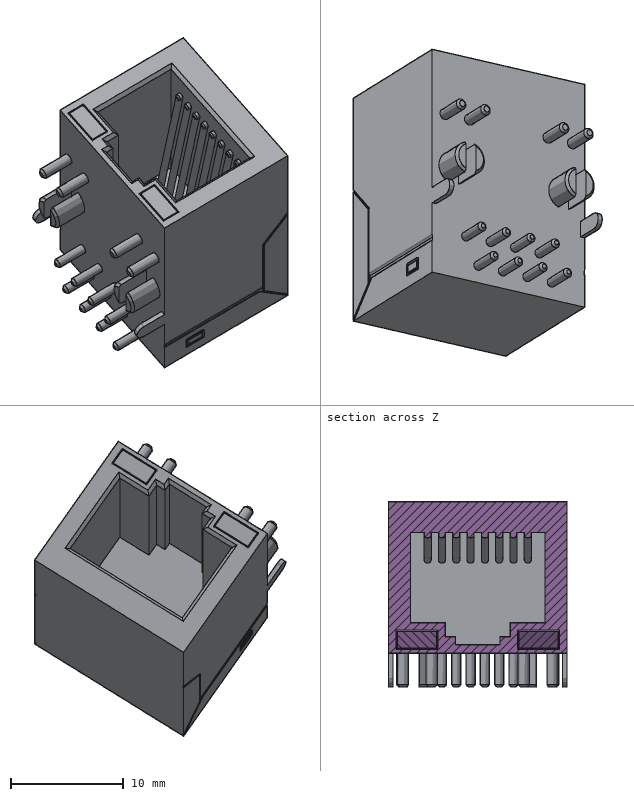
import cadquery as cq
import math


WIDTH = 15.88
HEIGHT = 13.5
LENGTH = 21.4
SIDE_X = WIDTH / 2
LEG_LENGTH = 3.0
LEG_CHAMFER = 0.21
ROOT_EMBED = 0.43

CAVITY_HALF_WIDTH = 5.97
CAVITY_CEILING = 10.75
CAVITY_FLOOR = 2.74
KEY_HALF_WIDTH = 2.87
KEY_FLOOR = 1.5
LATCH_HALF_WIDTH = 1.97
LATCH_FLOOR = 0.8
CAVITY_END_Z = 6.0
MOUTH_CHAMFER = 0.32
MOUTH_MARGIN = 0.02

CONTACT_COUNT = 8
CONTACT_SPAN = 8.9
PITCH = CONTACT_SPAN / (CONTACT_COUNT - 1)
CONTACT_RADIUS = 0.32
CONTACT_TILT = 10.0
CONTACT_ROOT_Y = 8.35
STUB_END_Y = 10.3
STUB_Z = 18.7
STUB_CHAMFER_LENGTH = 0.15
STUB_CHAMFER_DEPTH = 0.09

LIGHT_WIDTH = 3.5
LIGHT_HEIGHT = 1.5
LIGHT_DEPTH = 4.28
LIGHT_GAP = 0.096
LIGHT_X = 5.41
LIGHT_Y = 1.22

SIGNAL_RADIUS = 0.83 / 2
SIGNAL_REAR_Z = 1.6
ROW_PITCH = 2 * PITCH

LIGHT_LEG_RADIUS = 0.5
LIGHT_LEG_Z = 15.43
LIGHT_LEG_INNER_X = 4.09
LIGHT_LEG_OUTER_X = LIGHT_LEG_INNER_X + ROW_PITCH

PEG_RADIUS = 1.52
PEG_SPLIT = 1.03
PEG_CHAMFER = 0.24
PEG_X = 5.71
PEG_Z = 10.46

TAB_THICKNESS = 0.43
TAB_WIDTH = 1.5
TAB_Z = 7.4

RELIEF_DEPTH = 0.054
SEAM_DEPTH = 0.09
SEAM_WIDTH = 0.13
FLAP_Y = 10.8
FLAP_RUN = HEIGHT - FLAP_Y
FLAP_TOP_Z = 12.58
BAND_BOTTOM_Z = 3.1
BEND_BOTTOM_Z = 3.38
BEND_TOP_Z = 3.64

WINDOW_Y = 3.38
WINDOW_Z = 1.73
WINDOW_LENGTH = 1.95
WINDOW_HEIGHT = 1.15
WINDOW_CORNER_RADIUS = 0.17
CATCH_LENGTH = 1.6
CATCH_HEIGHT = 0.81
CATCH_BEVEL = 0.09


def make_cavity():
    """Stepped plug cavity, open at the mouth face."""
    right_side = [
        (CAVITY_HALF_WIDTH, CAVITY_CEILING),
        (CAVITY_HALF_WIDTH, CAVITY_FLOOR),
        (KEY_HALF_WIDTH, CAVITY_FLOOR),
        (KEY_HALF_WIDTH, KEY_FLOOR),
        (LATCH_HALF_WIDTH, KEY_FLOOR),
        (LATCH_HALF_WIDTH, LATCH_FLOOR),
    ]
    left_side = [(-x, y) for x, y in reversed(right_side)]
    outline = cq.Workplane("XY", origin=(0, 0, CAVITY_END_Z)).polyline(right_side + left_side).close()
    return outline.extrude(LENGTH - CAVITY_END_Z)


def make_contact(x):
    """Level stub with a chamfered end, and a round wire tilted from the cavity end up to its centre line."""
    tilt = math.radians(CONTACT_TILT)
    direction = cq.Vector(0, math.sin(tilt), math.cos(tilt))
    root = cq.Vector(x, CONTACT_ROOT_Y, CAVITY_END_Z) - direction * ROOT_EMBED
    length = (STUB_Z - CAVITY_END_Z) / math.cos(tilt) + ROOT_EMBED
    base = cq.Workplane(cq.Plane(origin=root.toTuple(), xDir=(1, 0, 0), normal=direction.toTuple()))
    wire = base.circle(CONTACT_RADIUS).extrude(length)

    stub_top = CAVITY_CEILING + ROOT_EMBED
    stub = (
        cq.Workplane("XY", origin=(x, 0, STUB_Z))
        .polyline([
            (0, stub_top),
            (CONTACT_RADIUS, stub_top),
            (CONTACT_RADIUS, STUB_END_Y + STUB_CHAMFER_LENGTH),
            (CONTACT_RADIUS - STUB_CHAMFER_DEPTH, STUB_END_Y),
            (0, STUB_END_Y),
        ])
        .close()
        .revolve(360, (0, 0, 0), (0, 1, 0))
    )
    return wire.union(stub)


def make_light(x, gap):
    """Block for one indicator light, enlarged by a gap on its four long sides."""
    block = cq.Workplane("XY", origin=(x, LIGHT_Y, LENGTH - LIGHT_DEPTH))
    return block.rect(LIGHT_WIDTH + 2 * gap, LIGHT_HEIGHT + 2 * gap).extrude(LIGHT_DEPTH)


def make_round_leg(x, z, radius, chamfer):
    """Round leg below the board face, chamfered at its free end."""
    leg = cq.Workplane("XZ", origin=(x, ROOT_EMBED, z)).circle(radius).extrude(LEG_LENGTH + ROOT_EMBED)
    return leg.faces("<Y").chamfer(chamfer)


def make_peg(x):
    """Locating peg split in two along Z."""
    peg = make_round_leg(x, PEG_Z, PEG_RADIUS, PEG_CHAMFER)
    split = cq.Workplane("XZ", origin=(x, 0, PEG_Z)).rect(PEG_SPLIT, 2 * PEG_RADIUS).extrude(LEG_LENGTH)
    return peg.cut(split)


def make_tab(side):
    """Flat ground tab with a full round end; side is -1 or 1."""
    half = TAB_WIDTH / 2
    round_start = half - LEG_LENGTH
    outline = (
        cq.Workplane("YZ", origin=(side * SIDE_X, 0, TAB_Z))
        .moveTo(ROOT_EMBED, half)
        .lineTo(round_start, half)
        .threePointArc((-LEG_LENGTH, 0), (round_start, -half))
        .lineTo(ROOT_EMBED, -half)
        .close()
    )
    return outline.extrude(-side * TAB_THICKNESS)


def make_flap_seam(side):
    """Narrow groove along the three free edges of the folded top flap."""
    overrun = 2 * SEAM_WIDTH
    slant_shift = SEAM_WIDTH * math.sqrt(2)
    corner_shift = slant_shift - SEAM_WIDTH
    outline = [
        (HEIGHT + overrun, FLAP_TOP_Z + overrun),
        (FLAP_Y, FLAP_TOP_Z - FLAP_RUN),
        (FLAP_Y, FLAP_RUN),
        (HEIGHT + overrun, -overrun),
    ]
    wall = cq.Workplane("YZ", origin=(side * SIDE_X, 0, 0))
    outer = wall.polyline(outline).close().extrude(-side * SEAM_DEPTH)
    flap_outline = [
        (HEIGHT + overrun, FLAP_TOP_Z + overrun - slant_shift),
        (FLAP_Y + SEAM_WIDTH, FLAP_TOP_Z - FLAP_RUN - corner_shift),
        (FLAP_Y + SEAM_WIDTH, FLAP_RUN + corner_shift),
        (HEIGHT + overrun, -overrun + slant_shift),
    ]
    flap = wall.polyline(flap_outline).close().extrude(-side * SEAM_DEPTH)
    return outer.cut(flap)


def make_bend_groove(side):
    """Groove along the rear fold: a flat floor that rises to the wall in a round bend."""
    floor_x = side * (SIDE_X - RELIEF_DEPTH)
    flat = (
        cq.Workplane("YZ", origin=(side * SIDE_X, 0, 0))
        .polyline([
            (0, BAND_BOTTOM_Z),
            (HEIGHT - BAND_BOTTOM_Z, BAND_BOTTOM_Z),
            (FLAP_Y, FLAP_RUN),
            (FLAP_Y, BEND_BOTTOM_Z),
            (0, BEND_BOTTOM_Z),
        ])
        .close()
        .extrude(-side * RELIEF_DEPTH)
    )
    bend_rise = BEND_TOP_Z - BEND_BOTTOM_Z
    bend_radius = (bend_rise**2 + RELIEF_DEPTH**2) / (2 * RELIEF_DEPTH)
    half_angle = math.asin(bend_rise / bend_radius) / 2
    bend_middle = (
        side * (SIDE_X - bend_radius * (1 - math.cos(half_angle))),
        BEND_TOP_Z - bend_radius * math.sin(half_angle),
    )
    bend = (
        cq.Workplane("XZ")
        .moveTo(side * SIDE_X, BEND_BOTTOM_Z)
        .lineTo(floor_x, BEND_BOTTOM_Z)
        .threePointArc(bend_middle, (side * SIDE_X, BEND_TOP_Z))
        .close()
        .extrude(-FLAP_Y)
    )
    return flat.union(bend)


def make_latch_window(side):
    """Shallow window pocket, leaving a bevelled catch standing in its middle."""
    wall = cq.Workplane("YZ", origin=(side * SIDE_X, WINDOW_Y, WINDOW_Z))
    pocket = wall.rect(WINDOW_LENGTH, WINDOW_HEIGHT).extrude(-side * RELIEF_DEPTH)
    pocket = pocket.edges("|X and >Z").fillet(WINDOW_CORNER_RADIUS)
    catch = (
        wall.rect(CATCH_LENGTH - 2 * CATCH_BEVEL, CATCH_HEIGHT - 2 * CATCH_BEVEL)
        .workplane(offset=-side * RELIEF_DEPTH)
        .rect(CATCH_LENGTH, CATCH_HEIGHT)
        .loft(ruled=True)
    )
    return pocket.cut(catch)


def make_housing():
    """Housing with its cavity, recesses, contacts, legs, pegs and tabs."""
    body = cq.Workplane("XY").box(WIDTH, HEIGHT, LENGTH, centered=(True, False, False))
    body = body.cut(make_cavity())
    mouth_edges = cq.selectors.BoxSelector(
        (-CAVITY_HALF_WIDTH - MOUTH_MARGIN, LATCH_FLOOR - MOUTH_MARGIN, LENGTH - MOUTH_MARGIN),
        (CAVITY_HALF_WIDTH + MOUTH_MARGIN, CAVITY_CEILING + MOUTH_MARGIN, LENGTH + MOUTH_MARGIN),
        boundingbox=True,
    )
    body = body.edges(mouth_edges).chamfer(MOUTH_CHAMFER)

    for side in (-1, 1):
        body = body.cut(make_light(side * LIGHT_X, LIGHT_GAP))
        body = body.cut(make_flap_seam(side)).cut(make_bend_groove(side)).cut(make_latch_window(side))
        body = body.union(make_peg(side * PEG_X)).union(make_tab(side))
        for leg_x in (LIGHT_LEG_INNER_X, LIGHT_LEG_OUTER_X):
            body = body.union(make_round_leg(side * leg_x, LIGHT_LEG_Z, LIGHT_LEG_RADIUS, LEG_CHAMFER))

    first_x = -CONTACT_SPAN / 2
    for index in range(CONTACT_COUNT):
        contact_x = first_x + index * PITCH
        leg_z = SIGNAL_REAR_Z + ROW_PITCH * (1 - index % 2)
        body = body.union(make_contact(contact_x))
        body = body.union(make_round_leg(contact_x, leg_z, SIGNAL_RADIUS, LEG_CHAMFER))
    return body


housing = make_housing()
lights = [make_light(side * LIGHT_X, 0) for side in (-1, 1)]

result = cq.Compound.makeCompound([housing.val(), *[light.val() for light in lights]])